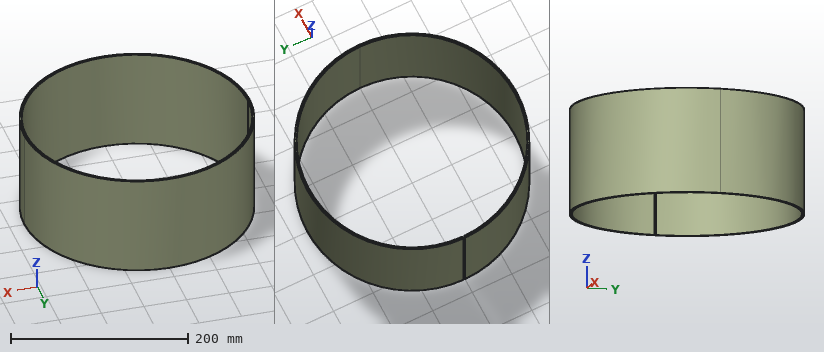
import cadquery as cq

outer_diameter = 265.0
wall = 2.6
height = 120.0
gap_width = 2.0
rim_chamfer = 0.4

outer_radius = outer_diameter / 2
inner_radius = outer_radius - wall

ring = (
    cq.Workplane("XY")
    .workplane(offset=-height / 2)
    .circle(outer_radius)
    .circle(inner_radius)
    .extrude(height)
    .edges("%CIRCLE")
    .chamfer(rim_chamfer)
)

gap_length = 4 * wall
gap = (
    cq.Workplane("XY")
    .box(gap_length, gap_width, height)
    .translate((-outer_radius, gap_width / 2, 0))
)

result = ring.cut(gap)